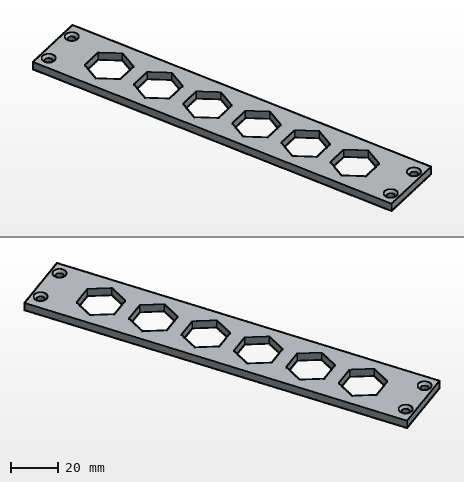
import cadquery as cq
import math

length = 182.0
width = 31.0
thickness = 4.0

window_count = 6
hexagon_sides = 6
half_side_angle = 180.0 / hexagon_sides
window_pitch = 25.0
window_across_flats = 18.0

hole_diameter = 3.5
sink_diameter = 6.0
sink_angle = 90.0
hole_spacing_x = 173.6
hole_spacing_y = 18.0
hole_center_y = -0.5

plate = cq.Workplane("XY").box(length, width, thickness)

window_across_corners = window_across_flats / math.cos(math.radians(half_side_angle))
windows = (
    cq.Workplane("XY")
    .rarray(window_pitch, 1.8, window_count, 1)
    .eachpoint(
        cq.Workplane("XY")
        .polygon(hexagon_sides, window_across_corners)
        .extrude(thickness, both=True)
        .rotate((0, 0, 0), (0, 0, 1), half_side_angle)
        .val()
    )
)

result = (
    plate.cut(windows)
    .faces(">Z")
    .workplane()
    .center(0, hole_center_y)
    .rarray(hole_spacing_x, hole_spacing_y, 2, 2)
    .cskHole(hole_diameter, sink_diameter, sink_angle)
)